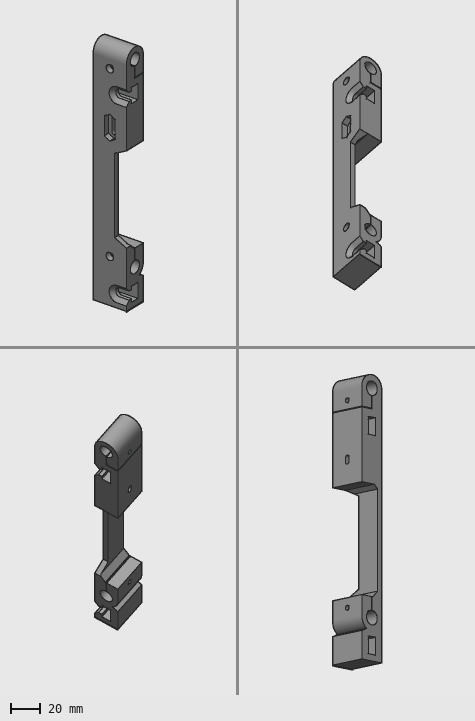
import cadquery as cq
import math

width = 28.0
depth = 19.0
height = 197.2
mid_x = width / 2
mid_y = depth / 2

pivot_radius = mid_y
bore_diameter = 10.0
upper_bore_z = height - pivot_radius
lower_bore_z = 30.4
notch_tip_z = 22.3
notch_mouth_z = 20.1

web_depth = 4.1
upper_block_z = 122.3
upper_chamfer = 3.0
lower_block_z = 44.8
lower_chamfer = 4.5

slit = 0.5
upper_slit_z = 173.5

relief_x = 18.1
relief_low_z = 53.5
relief_high_z = 117.3
relief_rise = 5.0

screw_z = (180.2, 37.9)
screw_diameter = 3.4
head_diameter = 6.1
head_depth = 5.0

channel_z = (161.9, 11.2)
channel_height = 12.2
channel_near_y = 6.0
channel_far_y = 12.8
opening_width = 6.9
opening_x = 20.1
opening_flare = 3.2

nut_flats = 9.0
nut_centres_z = (130.5, 140.4)
nut_depth = 4.7
slot_low_z = 128.2
slot_high_z = 142.5
slot_depth = 11.8
through_slot_low_z = 136.5

lip_height = 0.5
lip_thickness = 0.2


def box(x0, x1, y0, y1, z0, z1):
    return cq.Workplane("XY").box(x1 - x0, y1 - y0, z1 - z0, centered=False).translate((x0, y0, z0))


def cylinder_y(diameter, x, z, length):
    """Cylinder running from the front face toward +Y."""
    return cq.Workplane("XZ").center(x, z).circle(diameter / 2).extrude(-length)


def make_body():
    """Side profile in YZ, extruded across the width."""
    notch_tip_y = mid_y + math.sqrt(pivot_radius**2 - (lower_bore_z - notch_tip_z) ** 2)
    arc_mid = pivot_radius * math.sqrt(0.5)
    return (
        cq.Workplane("YZ")
        .moveTo(0, lip_height)
        .lineTo(0, upper_bore_z)
        .threePointArc((mid_y, height), (depth, upper_bore_z))
        .lineTo(depth, upper_block_z)
        .lineTo(web_depth + upper_chamfer, upper_block_z)
        .lineTo(web_depth, upper_block_z - upper_chamfer)
        .lineTo(web_depth, lower_block_z + lower_chamfer)
        .lineTo(web_depth + lower_chamfer, lower_block_z)
        .lineTo(depth, lower_block_z)
        .lineTo(depth, lower_bore_z)
        .threePointArc((mid_y + arc_mid, lower_bore_z - arc_mid), (notch_tip_y, notch_tip_z))
        .lineTo(depth, notch_mouth_z)
        .lineTo(depth, lip_height)
        .close()
        .extrude(width)
    )


def make_clamp_cuts():
    """Pivot bores and the slits that let them clamp."""
    cuts = (
        cq.Workplane("YZ")
        .pushPoints([(mid_y, upper_bore_z), (mid_y, lower_bore_z)])
        .circle(bore_diameter / 2)
        .extrude(width)
    )
    near = mid_y - slit / 2
    far = mid_y + slit / 2
    cuts = cuts.union(box(0, width, near, far, upper_slit_z, upper_bore_z))
    cuts = cuts.union(box(0, width, near, depth, upper_slit_z, upper_slit_z + slit))
    return cuts.union(box(0, width, near, far, lower_bore_z, lower_block_z + slit))


def make_relief():
    return (
        cq.Workplane("XZ")
        .polyline([
            (width, relief_low_z - relief_rise),
            (relief_x, relief_low_z),
            (relief_x, relief_high_z),
            (width, relief_high_z + relief_rise),
        ])
        .close()
        .extrude(-depth)
    )


def make_screw_hole(z):
    return cylinder_y(screw_diameter, mid_x, z, depth).union(cylinder_y(head_diameter, mid_x, z, head_depth))


def make_strap_channel(z):
    """Rectangular channel plus the round-ended opening flared at 45 degrees."""
    cut = box(0, width, channel_near_y, channel_far_y, z - channel_height / 2, z + channel_height / 2)
    half = opening_width / 2
    wide = half + opening_flare
    cut = cut.union(box(opening_x, width, 0, channel_near_y, z - half, z + half))
    cut = cut.union(cylinder_y(opening_width, opening_x, z, channel_near_y))
    cone = cq.Solid.makeCone(wide, half, opening_flare, cq.Vector(opening_x, 0, z), cq.Vector(0, 1, 0))
    flare = (
        cq.Workplane("YZ", origin=(opening_x, 0, 0))
        .polyline([(0, z - wide), (0, z + wide), (opening_flare, z + half), (opening_flare, z - half)])
        .close()
        .extrude(width - opening_x)
    )
    return cut.union(cq.Workplane(cone)).union(flare)


def make_slot(low_z, length):
    """Round-ended vertical slot of screw width, ending at the shared top."""
    return (
        cq.Workplane("XZ")
        .center(mid_x, (low_z + slot_high_z) / 2)
        .slot2D(slot_high_z - low_z, screw_diameter, 90)
        .extrude(-length)
    )


def make_nut_pocket():
    half = nut_flats / 2
    shoulder = half / math.sqrt(3)
    low, high = nut_centres_z
    pocket = (
        cq.Workplane("XZ")
        .polyline([
            (mid_x - half, low - shoulder),
            (mid_x, low - 2 * shoulder),
            (mid_x + half, low - shoulder),
            (mid_x + half, high + shoulder),
            (mid_x, high + 2 * shoulder),
            (mid_x - half, high + shoulder),
        ])
        .close()
        .extrude(-nut_depth)
    )
    return pocket.union(make_slot(slot_low_z, slot_depth)).union(make_slot(through_slot_low_z, depth))


result = make_body()
result = result.union(box(width - lip_thickness, width, 0, depth, 0, 2 * lip_height))
result = result.cut(make_clamp_cuts()).cut(make_relief()).cut(make_nut_pocket())
for z in screw_z:
    result = result.cut(make_screw_hole(z))
for z in channel_z:
    result = result.cut(make_strap_channel(z))